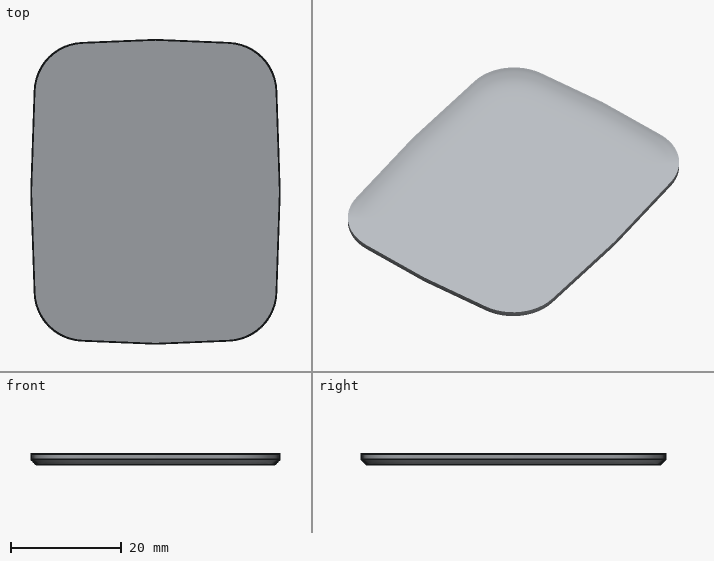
import cadquery as cq

width = 45.0
length = 55.0
thickness = 2.0

side_bow = 0.9
corner_radius = 9.0
bottom_chamfer = 1.0

half_width = width / 2
half_length = length / 2
corner_x = half_width - side_bow
corner_y = half_length - side_bow


def bowed_outline():
    """Four corners and four side peaks, in order around the plate."""
    return [
        (corner_x, corner_y),
        (0, half_length),
        (-corner_x, corner_y),
        (-half_width, 0),
        (-corner_x, -corner_y),
        (0, -half_length),
        (corner_x, -corner_y),
        (half_width, 0),
    ]


def is_corner_edge(edge):
    """True away from both centre planes, where the side peaks lie."""
    center = edge.Center()
    return abs(center.x) > half_width / 2 and abs(center.y) > half_length / 2


def make_plate():
    """Flat plate with bowed sides and sharp corners."""
    return cq.Workplane("XY").polyline(bowed_outline()).close().extrude(thickness)


def round_corners(plate):
    return plate.edges("|Z").filter(is_corner_edge).fillet(corner_radius)


def chamfer_bottom_rim(plate):
    return plate.faces("<Z").chamfer(bottom_chamfer)


result = chamfer_bottom_rim(round_corners(make_plate()))